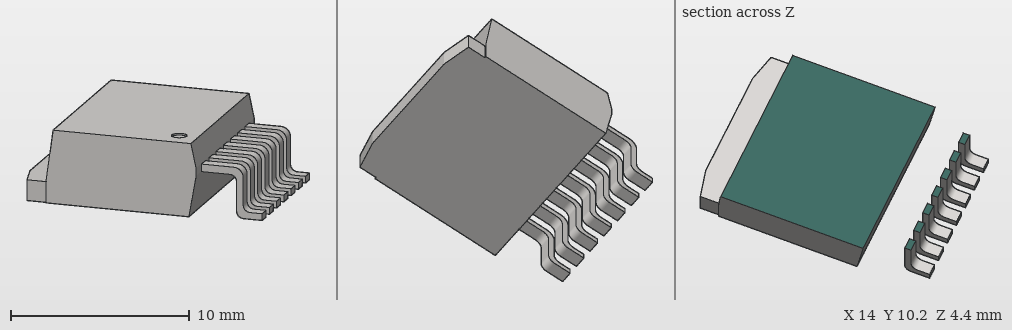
import cadquery as cq

overall_length = 14.0
tab_end_x = -overall_length / 2
lead_end_x = overall_length / 2

body_width = 10.22
body_top_z = 4.4
body_bottom_z = 0.1
body_front_x = tab_end_x + 1.55
body_back_x = tab_end_x + 10.42
front_slope_run = 0.42
back_upper_slope_run = 0.31
back_lower_slope_run = 0.43

tab_width = 10.04
tab_thickness = 1.22
tab_top_z = body_bottom_z + tab_thickness
tab_corner_length = 0.4
tab_corner_width = 1.7
tab_embed = 1.0

lead_count = 7
lead_pitch = 1.27
lead_width = 0.7
lead_thickness = 0.4
lead_shoulder_thickness = 0.44
lead_top_z = 2.96
lead_shoulder_z = lead_top_z - lead_shoulder_thickness
leg_outer_x = tab_end_x + 12.88
leg_inner_x = leg_outer_x - lead_thickness
shoulder_outer_radius = 0.56
shoulder_inner_radius = 0.4
foot_inner_radius = 0.4
foot_outer_radius = 0.42
lead_embed = 0.5

mark_radius = 0.43
mark_depth = 0.1
mark_x = tab_end_x + 9.0
mark_y = -3.85


def extrude_across_y(profile, width, center_y=0.0):
    """Extrude an XZ profile to the given width, centred on center_y."""
    return profile.extrude(width / 2, both=True).translate((0, center_y, 0))


def make_body():
    profile = (
        cq.Workplane("XZ")
        .moveTo(body_front_x, body_bottom_z)
        .lineTo(body_back_x - back_lower_slope_run, body_bottom_z)
        .lineTo(body_back_x, lead_shoulder_z)
        .lineTo(body_back_x, lead_top_z)
        .lineTo(body_back_x - back_upper_slope_run, body_top_z)
        .lineTo(body_front_x + front_slope_run, body_top_z)
        .lineTo(body_front_x, tab_top_z)
        .close()
    )
    return extrude_across_y(profile, body_width)


def make_tab():
    half_width = tab_width / 2
    inner_x = body_front_x + tab_embed
    corner_x = tab_end_x + tab_corner_length
    end_half_width = half_width - tab_corner_width
    return (
        cq.Workplane("XY")
        .workplane(offset=body_bottom_z)
        .moveTo(inner_x, -half_width)
        .lineTo(inner_x, half_width)
        .lineTo(corner_x, half_width)
        .lineTo(tab_end_x, end_half_width)
        .lineTo(tab_end_x, -end_half_width)
        .lineTo(corner_x, -half_width)
        .close()
        .extrude(tab_thickness)
    )


def make_lead(center_y):
    start_x = body_back_x - lead_embed
    profile = (
        cq.Workplane("XZ")
        .moveTo(start_x, lead_top_z)
        .lineTo(leg_outer_x - shoulder_outer_radius, lead_top_z)
        .radiusArc((leg_outer_x, lead_top_z - shoulder_outer_radius), shoulder_outer_radius)
        .lineTo(leg_outer_x, lead_thickness + foot_inner_radius)
        .radiusArc((leg_outer_x + foot_inner_radius, lead_thickness), -foot_inner_radius)
        .lineTo(lead_end_x, lead_thickness)
        .lineTo(lead_end_x, 0)
        .lineTo(leg_inner_x + foot_outer_radius, 0)
        .radiusArc((leg_inner_x, foot_outer_radius), foot_outer_radius)
        .lineTo(leg_inner_x, lead_shoulder_z - shoulder_inner_radius)
        .radiusArc((leg_inner_x - shoulder_inner_radius, lead_shoulder_z), -shoulder_inner_radius)
        .lineTo(start_x, lead_shoulder_z)
        .close()
    )
    return extrude_across_y(profile, lead_width, center_y)


def make_pin_one_mark():
    return (
        cq.Workplane("XY")
        .workplane(offset=body_top_z - mark_depth)
        .center(mark_x, mark_y)
        .circle(mark_radius)
        .extrude(mark_depth)
    )


result = make_body().cut(make_pin_one_mark()).union(make_tab())
for lead_index in range(lead_count):
    lead_y = (lead_index - (lead_count - 1) / 2) * lead_pitch
    result = result.union(make_lead(lead_y))